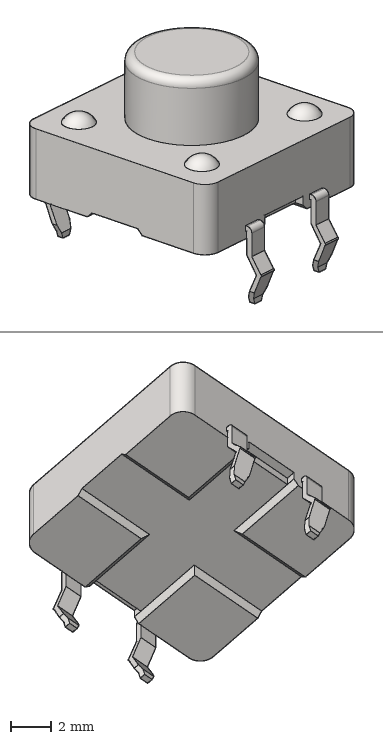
import cadquery as cq
import math


body_side = 12.0
body_height = 3.86
body_corner_radius = 0.87

button_diameter = 6.69
button_top = 7.48
button_edge_radius = 0.5

dome_sphere_radius = 1.0
dome_height = 0.52
dome_offset = 4.0

channel_top_width = 2.99
channel_depth = 0.3

recess_height = 0.5
recess_depth = 0.5

leg_span = 14.09
leg_spacing = 5.0
leg_width = 1.0
leg_top = 0.73
leg_bottom = -3.52
leg_thickness = 0.34
leg_arm_thickness = 0.3
leg_bend_radius = 0.3
leg_outer_x = 6.41
leg_embed = 0.14
knee_start = -0.85
knee_upper = -1.68
knee_lower = -1.79
knee_bulge = 0.04
tip_start = -3.2
taper_start = -2.79
tip_width = 0.51


def make_body():
    return (
        cq.Workplane("XY")
        .rect(body_side, body_side)
        .extrude(body_height)
        .edges("|Z")
        .fillet(body_corner_radius)
    )


def make_channel(plane):
    """Trapezoidal channel across the underside, normal to the given plane."""
    half_top = channel_top_width / 2
    half_bottom = half_top + channel_depth
    return (
        cq.Workplane(plane)
        .polyline([
            (-half_bottom, 0),
            (half_bottom, 0),
            (half_top, channel_depth),
            (-half_top, channel_depth),
        ])
        .close()
        .extrude(body_side, both=True)
    )


def make_recess(side):
    """Pocket in the +X (side = 1) or -X (side = -1) face, open to the channel below."""
    return (
        cq.Workplane("XY")
        .rect(recess_depth, channel_top_width)
        .extrude(channel_depth + recess_height)
        .translate((side * (body_side - recess_depth) / 2, 0, 0))
    )


def make_button():
    return (
        cq.Workplane("XY")
        .workplane(offset=body_height)
        .circle(button_diameter / 2)
        .extrude(button_top - body_height)
        .faces(">Z")
        .edges()
        .fillet(button_edge_radius)
    )


def make_dome(x, y):
    """Spherical cap on the housing top; the rest of the sphere lies inside the housing."""
    center_z = body_height + dome_height - dome_sphere_radius
    return cq.Workplane("XY").sphere(dome_sphere_radius).translate((x, y, center_z))


def make_leg():
    """Bent strip leg on the +X side, centred on Y = 0, with its tip tapered in Y."""
    inner_x = leg_outer_x - leg_thickness
    knee_x = leg_span / 2
    knee_end_x = knee_x - knee_bulge
    root_x = body_side / 2 - leg_embed
    bend_x = leg_outer_x - leg_bend_radius
    bend_z = leg_top - leg_bend_radius
    bend_middle = leg_bend_radius * math.sqrt(0.5)
    strip = (
        cq.Workplane("XZ")
        .moveTo(root_x, leg_top)
        .lineTo(bend_x, leg_top)
        .threePointArc((bend_x + bend_middle, bend_z + bend_middle), (leg_outer_x, bend_z))
        .lineTo(leg_outer_x, knee_start)
        .lineTo(knee_end_x, knee_upper)
        .threePointArc((knee_x, (knee_upper + knee_lower) / 2), (knee_end_x, knee_lower))
        .lineTo(leg_outer_x, tip_start)
        .lineTo(leg_outer_x, leg_bottom)
        .lineTo(inner_x, leg_bottom)
        .lineTo(inner_x, tip_start)
        .lineTo(knee_x - leg_thickness, knee_lower)
        .lineTo(inner_x, knee_start)
        .lineTo(inner_x, leg_top - leg_arm_thickness)
        .lineTo(root_x, leg_top - leg_arm_thickness)
        .close()
        .extrude(leg_width / 2, both=True)
    )
    front_outline = (
        cq.Workplane("YZ")
        .polyline([
            (-leg_width / 2, leg_top),
            (-leg_width / 2, taper_start),
            (-tip_width / 2, leg_bottom),
            (tip_width / 2, leg_bottom),
            (leg_width / 2, taper_start),
            (leg_width / 2, leg_top),
        ])
        .close()
        .extrude(leg_span)
    )
    return strip.intersect(front_outline)


result = make_body()
for plane in ("XZ", "YZ"):
    result = result.cut(make_channel(plane))
for side in (-1, 1):
    result = result.cut(make_recess(side))

result = result.union(make_button())
for x in (-dome_offset, dome_offset):
    for y in (-dome_offset, dome_offset):
        result = result.union(make_dome(x, y))

right_leg = make_leg()
left_leg = right_leg.mirror("YZ")
for leg in (left_leg, right_leg):
    for y in (-leg_spacing / 2, leg_spacing / 2):
        result = result.union(leg.translate((0, y, 0)))